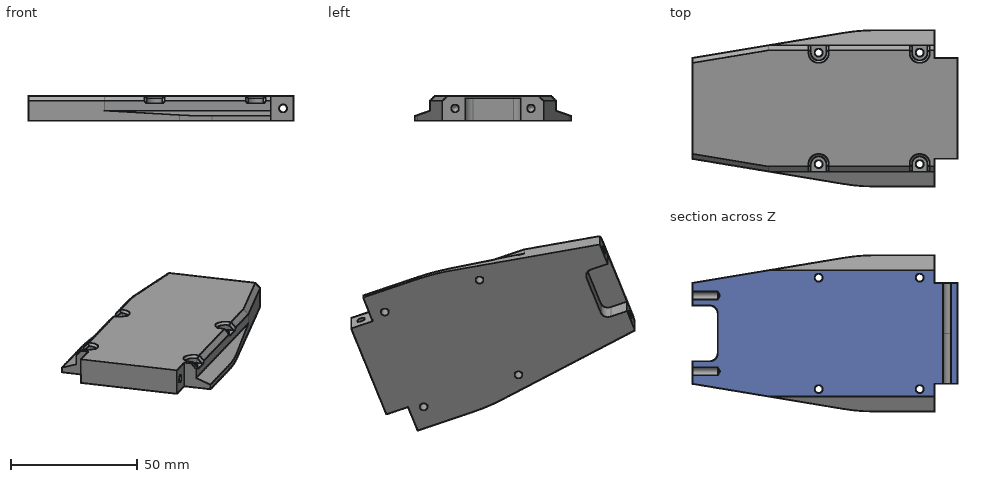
import cadquery as cq
import math

length = 105.0
flange_width = 62.0
height = 10.0

front_width = 40.0
body_width = 50.0
taper_length = 30.0
edge_bevel = 2.0
edge_bevel_angle = 45.0

tongue_length = 9.1
tongue_width = front_width
shoulder_x = length - tongue_length

flange_root_height = 4.1
flange_edge_height = 2.0
flange_blend_radius = 78.8

notch_width = 21.9
notch_depth = 10.0
notch_corner_radius = 3.0
roof_thickness = 1.0

hole_diameter = 3.0
hole_height = height / 2
front_hole_spacing = 30.0
front_hole_depth = 10.0
drill_point_angle = 118.0
cross_hole_from_end = 4.2

seat_x_places = (50.0, 90.0)
seat_row_spacing = 44.1
seat_radius = 3.0
seat_depth = 2.9
seat_bevel = 1.0

taper_slope = (body_width - front_width) / 2 / taper_length


def tapered_plan(width, thickness):
    """Plate in the part's plan outline, from the front end to the shoulder."""
    corner_x = (width - front_width) / 2 / taper_slope
    return (
        cq.Workplane("XY")
        .polyline([
            (0, -front_width / 2),
            (corner_x, -width / 2),
            (shoulder_x, -width / 2),
            (shoulder_x, width / 2),
            (corner_x, width / 2),
            (0, front_width / 2),
        ])
        .close()
        .extrude(thickness)
    )


def make_body():
    body = tapered_plan(body_width, height)
    return body.faces(">Z").edges("not(|Y)").chamfer(edge_bevel)


def make_flanges():
    plan = tapered_plan(flange_width, flange_root_height)
    plan = plan.edges("|Z and (not <X) and (not >X)").fillet(flange_blend_radius)
    section = (
        cq.Workplane("YZ")
        .polyline([
            (-flange_width / 2, 0),
            (flange_width / 2, 0),
            (flange_width / 2, flange_edge_height),
            (body_width / 2, flange_root_height),
            (-body_width / 2, flange_root_height),
            (-flange_width / 2, flange_edge_height),
        ])
        .close()
        .extrude(shoulder_x)
    )
    return plan.intersect(section)


def make_tongue():
    return (
        cq.Workplane("XY")
        .box(2 * tongue_length, tongue_width, height, centered=(False, True, False))
        .translate((length - 2 * tongue_length, 0, 0))
    )


def make_notch():
    return (
        cq.Workplane("XY")
        .box(notch_depth, notch_width, height - roof_thickness, centered=(False, True, False))
        .edges("|Z and >X")
        .fillet(notch_corner_radius)
    )


def make_front_hole(y):
    """Blind hole along X with a conical drill point."""
    radius = hole_diameter / 2
    point_length = radius / math.tan(math.radians(drill_point_angle / 2))
    return (
        cq.Workplane("XY")
        .polyline([
            (0, 0),
            (front_hole_depth + point_length, 0),
            (front_hole_depth, radius),
            (0, radius),
        ])
        .close()
        .revolve(360, (0, 0, 0), (1, 0, 0))
        .translate((0, y, hole_height))
    )


def make_cross_hole():
    return (
        cq.Workplane("XZ")
        .center(length - cross_hole_from_end, hole_height)
        .circle(hole_diameter / 2)
        .extrude(tongue_width / 2, both=True)
    )


def bevel_prism(reach):
    """Bevel cutter along +Y for the two straight seat edges, top at Z = 0."""
    return (
        cq.Workplane("XZ")
        .polyline([
            (-seat_radius, -seat_bevel),
            (seat_radius, -seat_bevel),
            (seat_radius + seat_bevel, 0),
            (-seat_radius - seat_bevel, 0),
        ])
        .close()
        .extrude(-reach)
    )


def make_seat(x):
    """Cutter for one screw seat and its through hole on the +Y side."""
    screw_y = seat_row_spacing / 2
    wall_y = body_width / 2
    reach = wall_y - screw_y
    outer_radius = seat_radius + seat_bevel

    recess = (
        cq.Workplane("XY")
        .workplane(offset=-seat_depth)
        .moveTo(-seat_radius, reach)
        .lineTo(-seat_radius, 0)
        .threePointArc((0, -seat_radius), (seat_radius, 0))
        .lineTo(seat_radius, reach)
        .close()
        .extrude(seat_depth)
    )
    round_bevel = (
        cq.Workplane("XZ")
        .polyline([(0, 0), (0, -seat_bevel), (seat_radius, -seat_bevel), (outer_radius, 0)])
        .close()
        .revolve(360, (0, 0, 0), (0, 1, 0))
    )
    slope_length = edge_bevel / math.cos(math.radians(edge_bevel_angle))
    slope_bevel = (
        bevel_prism(4 * slope_length)
        .translate((0, -2 * slope_length, 0))
        .rotate((0, 0, 0), (1, 0, 0), -edge_bevel_angle)
        .translate((0, reach - edge_bevel, 0))
    )
    above_floor = (
        cq.Workplane("XY")
        .box(4 * outer_radius, 4 * outer_radius, seat_depth)
        .translate((0, 0, -seat_depth / 2))
    )
    screw_hole = cq.Workplane("XY").circle(hole_diameter / 2).extrude(-height)
    seat = (
        recess.union(round_bevel)
        .union(bevel_prism(reach))
        .union(slope_bevel.intersect(above_floor))
        .union(screw_hole)
    )
    return seat.translate((x, screw_y, height))


result = make_body().union(make_flanges()).union(make_tongue())
result = result.cut(make_notch()).cut(make_cross_hole())

for side in (-1, 1):
    result = result.cut(make_front_hole(side * front_hole_spacing / 2))

for seat_x in seat_x_places:
    seat = make_seat(seat_x)
    result = result.cut(seat).cut(seat.mirror("XZ"))